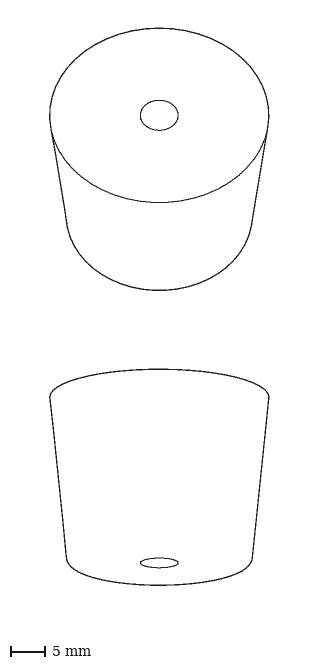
import cadquery as cq

top_diameter = 32.0
bottom_diameter = 27.0
height = 25.0
hole_diameter = 5.5
base_fillet = 1.0

body = (
    cq.Workplane("XY")
    .circle(bottom_diameter / 2)
    .workplane(offset=height)
    .circle(top_diameter / 2)
    .loft(ruled=True)
)

body = body.faces("<Z").edges().fillet(base_fillet)

hole = cq.Workplane("XY").circle(hole_diameter / 2).extrude(height)
result = body.cut(hole)